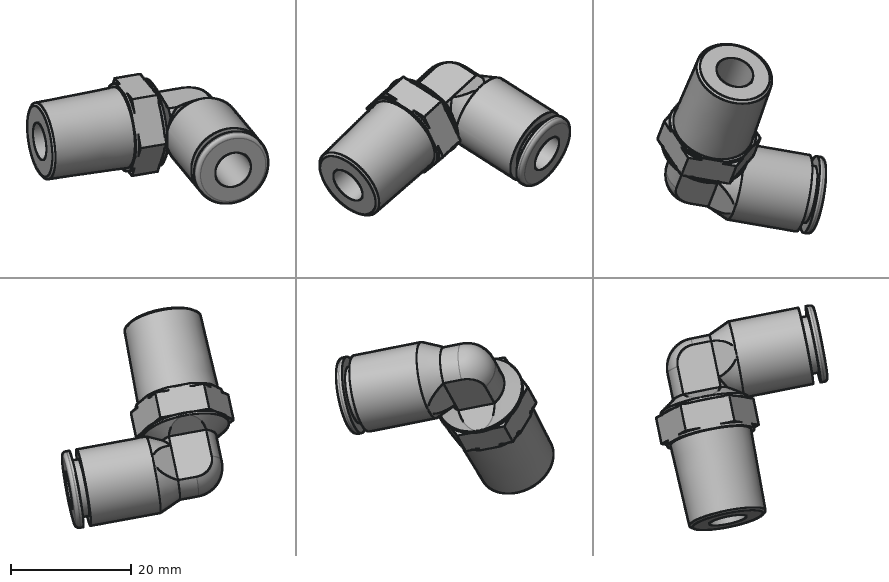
import cadquery as cq
import math

elbow_radius = 4.9
bore_radius = 3.15
flat_height = 3.75
elbow_flat_reach = math.sqrt(elbow_radius**2 - flat_height**2)

socket_radius = 6.48
socket_cone_end = 6.75
socket_body_end = 18.52
socket_neck_radius = 4.8
release_ring_start = 19.8
socket_end = 21.05
release_ring_fillet = 0.7

leg_cone_start = 4.77
collar_radius = 14.77 / 2
collar_start = 6.55
hex_start = 7.05
hex_shoulder = 11.58
hex_end = 12.1
hex_across_flats = 14.3
thread_root_radius = 6.85
thread_tip_radius = 6.48
thread_end = 26.4
thread_chamfer_length = 0.35
thread_chamfer_depth = 0.5


def revolve_profile(outline):
    """Solid of revolution about local X from (distance, radius) points starting on the axis."""
    return cq.Workplane("XY").polyline(outline).close().revolve(360, (0, 0, 0), (1, 0, 0))


def to_leg(solid):
    """Turn a solid built along +X so that it points along -Y."""
    return solid.rotate((0, 0, 0), (0, 0, 1), -90)


def flatten(solid, ramp_start, ramp_end, full_height, length):
    """Limit an arm along +X to the elbow flats, which ramp out to its full height."""
    upper = [
        (-elbow_radius, flat_height),
        (ramp_start, flat_height),
        (ramp_end, full_height),
        (length, full_height),
    ]
    lower = [(x, -z) for x, z in reversed(upper)]
    envelope = (
        cq.Workplane("XZ").polyline(upper + lower).close().extrude(collar_radius, both=True)
    )
    return solid.intersect(envelope)


def make_socket():
    socket = revolve_profile([
        (0, 0),
        (0, elbow_radius),
        (elbow_flat_reach, elbow_radius),
        (socket_cone_end, socket_radius),
        (socket_body_end, socket_radius),
        (socket_body_end, socket_neck_radius),
        (release_ring_start, socket_neck_radius),
        (release_ring_start, socket_radius),
        (socket_end, socket_radius),
        (socket_end, 0),
    ])
    socket = socket.faces(">X").edges().fillet(release_ring_fillet)
    return flatten(socket, elbow_flat_reach, socket_cone_end, socket_radius, socket_end)


def make_shoulder():
    """Round leg widening into the collar above the hexagon."""
    shoulder = revolve_profile([
        (0, 0),
        (0, elbow_radius),
        (leg_cone_start, elbow_radius),
        (collar_start, collar_radius),
        (hex_start, collar_radius),
        (hex_start, 0),
    ])
    return to_leg(flatten(shoulder, leg_cone_start, collar_start, collar_radius, hex_start))


def make_hexagon():
    """Hexagon with corners on +X and -X, its last stretch trimmed to a round shoulder."""
    across_corners = hex_across_flats / math.cos(math.pi / 6)
    full_hex_length = hex_shoulder - hex_start
    start_plane = cq.Workplane("XZ", origin=(0, -hex_start, 0))
    hexagon = start_plane.polygon(6, across_corners).extrude(hex_end - hex_start)
    corner_trim = (
        start_plane.workplane(offset=full_hex_length)
        .circle(across_corners)
        .circle(collar_radius)
        .extrude(hex_end - hex_shoulder)
    )
    return hexagon.cut(corner_trim)


def make_thread():
    return to_leg(revolve_profile([
        (hex_end, 0),
        (hex_end, thread_root_radius),
        (thread_end - thread_chamfer_length, thread_tip_radius),
        (thread_end, thread_tip_radius - thread_chamfer_depth),
        (thread_end, 0),
    ]))


def make_elbow_ball():
    """Rounded outer corner of the elbow between its flats."""
    ball = cq.Workplane("XY").sphere(elbow_radius)
    return ball.intersect(cq.Workplane("XY").box(2 * elbow_radius, 2 * elbow_radius, 2 * flat_height))


def make_bore():
    """Passage through both arms with a spherical turn at the corner."""
    socket_bore = cq.Workplane("YZ").circle(bore_radius).extrude(socket_end)
    leg_bore = cq.Workplane("XZ").circle(bore_radius).extrude(thread_end)
    return cq.Workplane("XY").sphere(bore_radius).union(socket_bore).union(leg_bore)


body = make_elbow_ball()
for section in (make_socket(), make_shoulder(), make_hexagon(), make_thread()):
    body = body.union(section)

result = body.cut(make_bore())